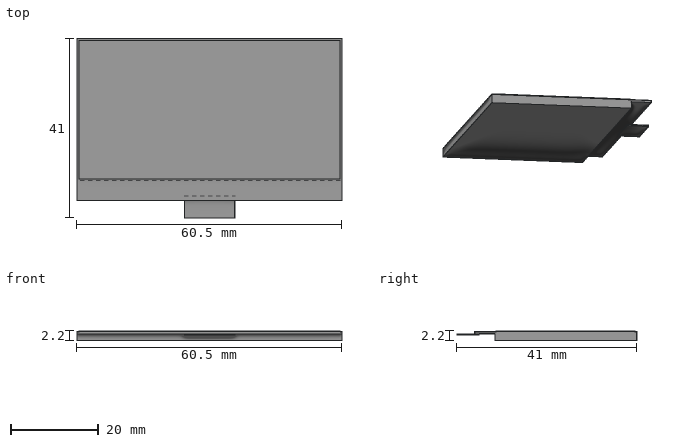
import cadquery as cq

width = 60.5
total_length = 41.0
total_height = 2.2

tail_reach = 4.0
glass_length = total_length - tail_reach
glass_overhang = 4.6

film_thickness = 0.2
glass_thickness = 0.5
backing_height = total_height - glass_thickness - film_thickness

film_margin = 0.5
film_length = 31.6

tail_width = 11.5
tail_bond = 1.0
tail_thickness = 0.3

back_edge = glass_length / 2
glass_base = backing_height
glass_top = glass_base + glass_thickness


def slab(size_x, size_y, thickness, rear_y, base_z):
    """Flat rectangular layer centred on X, reaching from rear_y toward -Y."""
    return (
        cq.Workplane("XY")
        .box(size_x, size_y, thickness, centered=(True, False, False))
        .translate((0, rear_y - size_y, base_z))
    )


def make_backing():
    return slab(width, glass_length - glass_overhang, backing_height, back_edge, 0)


def make_glass():
    return slab(width, glass_length, glass_thickness, back_edge, glass_base)


def make_film():
    film_width = width - 2 * film_margin
    return slab(film_width, film_length, film_thickness, back_edge - film_margin, glass_top)


def make_tail():
    rear_y = -glass_length / 2 + tail_bond
    return slab(tail_width, tail_bond + tail_reach, tail_thickness, rear_y, glass_base - tail_thickness)


result = make_backing().union(make_glass()).union(make_film()).union(make_tail())